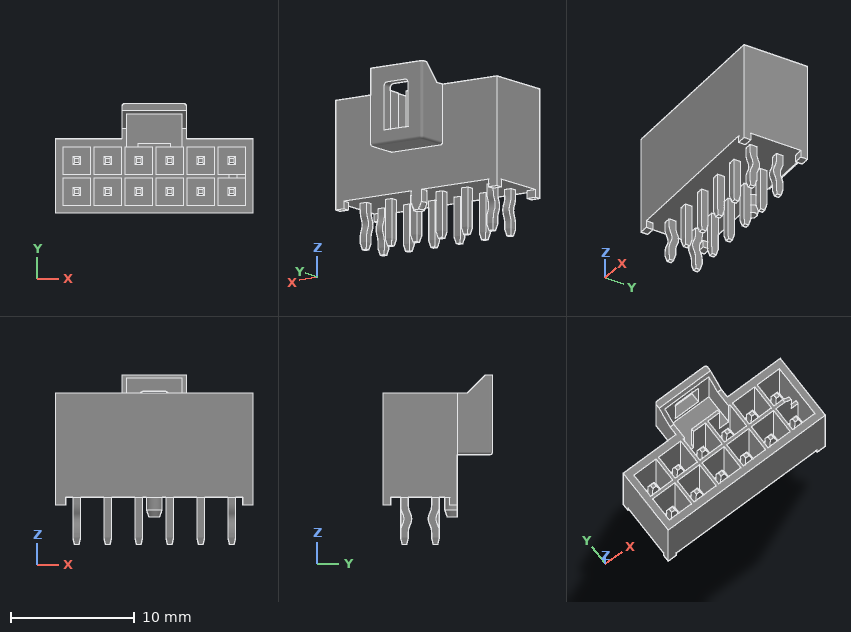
import cadquery as cq


BODY_LENGTH = 15.94
BODY_DEPTH = 6.01
BODY_TOP = 9.07
BODY_BOTTOM = 0.64
BODY_BACK = BODY_DEPTH / 2
FOOT_LENGTH = 0.83
FOOT_DEPTH = 0.64

COLUMNS = 6
ROWS = 2
PITCH = 2.5
CAVITY_LENGTH = 2.25
CAVITY_DEPTH = 2.22
CAVITY_FLOOR = 1.91
LAST_COLUMN_X = PITCH * (COLUMNS - 1) / 2
ROWS_CENTRE_Y = -0.02
BACK_ROW_Y = ROWS_CENTRE_Y + PITCH * (ROWS - 1) / 2
CAVITY_BACK = BACK_ROW_Y + CAVITY_DEPTH / 2

DIVIDER_END_X = 6.68
DIVIDER_CHAMFER = 0.65
DIVIDER_GAP_DEPTH = 3.19

SHROUD_WIDTH = 5.21
SHROUD_TOP = 10.52
SHROUD_BOTTOM = 4.06
SHROUD_DEPTH = 2.84
SHROUD_BACK = BODY_BACK + SHROUD_DEPTH
SHROUD_ROUND = 0.22
SHROUD_RIM = 0.59
SHROUD_SIDE_WALL = 0.38
SHROUD_BACK_WALL = 0.86
WELL_WIDTH = SHROUD_WIDTH - 2 * SHROUD_SIDE_WALL
WELL_BACK = SHROUD_BACK - SHROUD_BACK_WALL
WELL_FLOOR = SHROUD_BOTTOM + SHROUD_SIDE_WALL
SCREEN_WIDTH = 2.65
SCREEN_THICKNESS = 0.25
WINDOW_WIDTH = 2.35
WINDOW_TOP = 9.18
WINDOW_SILL = 0.8
WINDOW_BOTTOM = WELL_FLOOR + WINDOW_SILL
WINDOW_ROUND = 0.32

PEG_RADIUS = 0.64
PEG_Y = 2.61
PEG_CONE_TOP = -0.38
PEG_BOTTOM = -0.97
PEG_TIP_RADIUS = 0.43

PIN_WIDTH = 0.64
PIN_TOP_TIP_WIDTH = 0.33
PIN_TAIL_TIP_WIDTH = 0.38
PIN_TIP_HEIGHT = 0.54
PIN_TOP = 6.7
PIN_BOTTOM = -3.19

KINK_Z = -1.1
KINK_OFFSET = 0.27
KINK_HALF_HEIGHT = 1.15
KINK_CREST_HALF_HEIGHT = 0.43


def centred_block(width, y_range, z_range):
    """Box centred on X = 0 between the given (low, high) limits in Y and Z."""
    y_low, y_high = y_range
    z_low, z_high = z_range
    return (
        cq.Workplane("XY")
        .box(width, y_high - y_low, z_high - z_low, centered=(True, False, False))
        .translate((0, y_low, z_low))
    )


def column_positions():
    return [PITCH * i - LAST_COLUMN_X for i in range(COLUMNS)]


def row_positions():
    return [BACK_ROW_Y - PITCH * j for j in range(ROWS)]


def make_body():
    """Housing block, relieved underneath so that it stands on four corner feet."""
    body = cq.Workplane("XY").box(BODY_LENGTH, BODY_DEPTH, BODY_TOP, centered=(True, True, False))
    along_x = (BODY_LENGTH - 2 * FOOT_LENGTH, BODY_DEPTH)
    along_y = (BODY_LENGTH, BODY_DEPTH - 2 * FOOT_DEPTH)
    for length, depth in (along_x, along_y):
        relief = cq.Workplane("XY").box(length, depth, BODY_BOTTOM, centered=(True, True, False))
        body = body.cut(relief)
    return body


def make_shroud():
    """Solid latch shroud with a 45 degree front slope and rounded outer edges."""
    slope = SHROUD_TOP - BODY_TOP
    outer = (
        centred_block(SHROUD_WIDTH, (CAVITY_BACK, SHROUD_BACK), (SHROUD_BOTTOM, SHROUD_TOP))
        .edges("(|Z and >Y) or (<Z and (not <Y))")
        .fillet(SHROUD_ROUND)
    )
    rim_y = SHROUD_BACK - SHROUD_RIM
    front_cut = (
        cq.Workplane("YZ")
        .moveTo(rim_y, SHROUD_TOP)
        .lineTo(rim_y - slope, BODY_TOP)
        .lineTo(0, BODY_TOP)
        .lineTo(0, SHROUD_TOP)
        .close()
        .extrude(SHROUD_WIDTH, both=True)
    )
    return outer.cut(front_cut)


def make_well():
    """Latch well, open to the cavities on both sides of a thin screen wall."""
    well = centred_block(WELL_WIDTH, (CAVITY_BACK, WELL_BACK), (WELL_FLOOR, SHROUD_TOP))
    screen = centred_block(
        SCREEN_WIDTH, (CAVITY_BACK, CAVITY_BACK + SCREEN_THICKNESS), (WELL_FLOOR, SHROUD_TOP)
    )
    return well.cut(screen)


def make_window():
    """Opening through the shroud's back wall, rounded at its upper corners."""
    return (
        centred_block(WINDOW_WIDTH, (WELL_BACK, SHROUD_BACK), (WINDOW_BOTTOM, WINDOW_TOP))
        .edges("|Y and >Z")
        .fillet(WINDOW_ROUND)
    )


def make_cavities():
    centres = [(x, y) for x in column_positions() for y in row_positions()]
    return (
        cq.Workplane("XY", origin=(0, 0, CAVITY_FLOOR))
        .pushPoints(centres)
        .rect(CAVITY_LENGTH, CAVITY_DEPTH)
        .extrude(BODY_TOP - CAVITY_FLOOR)
    )


def make_divider_gap():
    """Gap that ends the last divider short of the side wall, with a chamfered top corner."""
    gap_end_x = LAST_COLUMN_X + CAVITY_LENGTH / 2
    chamfer_start_x = DIVIDER_END_X - DIVIDER_CHAMFER
    gap_bottom = BODY_TOP - DIVIDER_GAP_DEPTH
    divider_thickness = PITCH - CAVITY_DEPTH
    return (
        cq.Workplane("XZ", origin=(0, ROWS_CENTRE_Y + divider_thickness / 2, 0))
        .moveTo(chamfer_start_x, BODY_TOP)
        .lineTo(DIVIDER_END_X, BODY_TOP - DIVIDER_CHAMFER)
        .lineTo(DIVIDER_END_X, gap_bottom)
        .lineTo(gap_end_x, gap_bottom)
        .lineTo(gap_end_x, BODY_TOP)
        .close()
        .extrude(divider_thickness)
    )


def make_peg():
    """Tapered round peg, cut flush with the back of the housing."""
    peg = (
        cq.Workplane("XZ", origin=(0, PEG_Y, 0))
        .moveTo(0, BODY_BOTTOM)
        .lineTo(PEG_RADIUS, BODY_BOTTOM)
        .lineTo(PEG_RADIUS, PEG_CONE_TOP)
        .lineTo(PEG_TIP_RADIUS, PEG_BOTTOM)
        .lineTo(0, PEG_BOTTOM)
        .close()
        .revolve(360, (0, 0, 0), (0, 1, 0))
    )
    return peg.intersect(centred_block(BODY_LENGTH, (0, BODY_BACK), (PEG_BOTTOM, BODY_BOTTOM)))


def make_tip(base_z, height, end_width):
    """Tapered pin end; a negative height points it downwards."""
    return (
        cq.Workplane("XY", origin=(0, 0, base_z))
        .rect(PIN_WIDTH, PIN_WIDTH)
        .workplane(offset=height)
        .rect(end_width, end_width)
        .loft()
    )


def make_shank(low, high):
    """Straight square length of pin."""
    half = PIN_WIDTH / 2
    return centred_block(PIN_WIDTH, (-half, half), (low, high))


def make_kinked_shank(low, high, offset):
    """Square length of pin that swings sideways by offset in Y in a smooth S-bend and returns."""
    half = PIN_WIDTH / 2
    bend_share = 1 - KINK_CREST_HALF_HEIGHT / KINK_HALF_HEIGHT
    bend = offset * bend_share
    kink_top = KINK_Z + KINK_HALF_HEIGHT
    kink_bottom = KINK_Z - KINK_HALF_HEIGHT
    crest_top = KINK_Z + KINK_CREST_HALF_HEIGHT
    crest_bottom = KINK_Z - KINK_CREST_HALF_HEIGHT
    return (
        cq.Workplane("YZ", origin=(-half, 0, 0))
        .moveTo(-half, high)
        .lineTo(-half, kink_top)
        .tangentArcPoint((bend - half, crest_top), relative=False)
        .tangentArcPoint((bend - half, crest_bottom), relative=False)
        .tangentArcPoint((-half, kink_bottom), relative=False)
        .lineTo(-half, low)
        .lineTo(half, low)
        .lineTo(half, kink_bottom)
        .tangentArcPoint((bend + half, crest_bottom), relative=False)
        .tangentArcPoint((bend + half, crest_top), relative=False)
        .tangentArcPoint((half, kink_top), relative=False)
        .lineTo(half, high)
        .close()
        .extrude(PIN_WIDTH)
    )


def make_pin(kink_offset=0):
    low = PIN_BOTTOM + PIN_TIP_HEIGHT
    high = PIN_TOP - PIN_TIP_HEIGHT
    shank = make_kinked_shank(low, high, kink_offset) if kink_offset else make_shank(low, high)
    top_tip = make_tip(high, PIN_TIP_HEIGHT, PIN_TOP_TIP_WIDTH)
    tail_tip = make_tip(low, -PIN_TIP_HEIGHT, PIN_TAIL_TIP_WIDTH)
    return shank.union(top_tip).union(tail_tip)


housing = (
    make_body()
    .union(make_shroud())
    .cut(make_well())
    .cut(make_window())
    .cut(make_cavities())
    .cut(make_divider_gap())
    .union(make_peg())
)

result = housing
for x in column_positions():
    is_end_column = abs(x) > LAST_COLUMN_X - PITCH / 2
    for y in row_positions():
        inward = -1 if y > ROWS_CENTRE_Y else 1
        pin = make_pin(inward * KINK_OFFSET if is_end_column else 0)
        result = result.union(pin.translate((x, y, 0)))